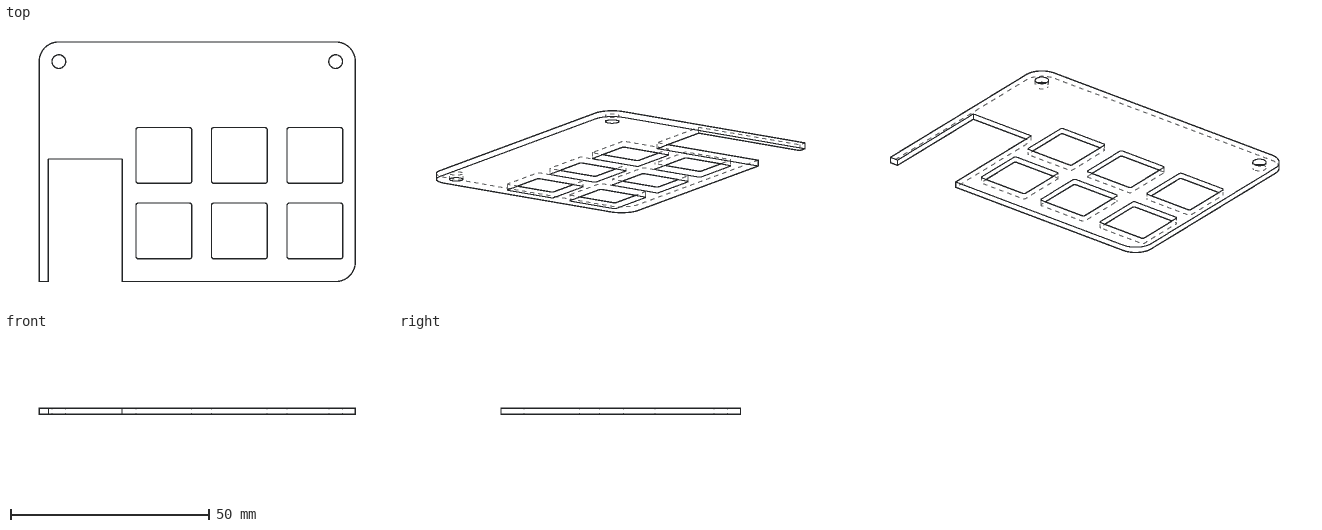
import cadquery as cq

LENGTH = 79.84
WIDTH = 60.53
THICKNESS = 1.55
CORNER_RADIUS = 5.0

HOLE_DIAMETER = 3.4

KEY_SIZE = 14.0
KEY_PITCH = 19.05
KEY_COLUMNS = 3
KEY_ROWS = 2
KEY_CORNER_RADIUS = 0.5
KEY_RIGHT_MARGIN = 3.25
KEY_FRONT_MARGIN = 5.8

ARM_WIDTH = 2.35
NOTCH_WIDTH = 18.6
NOTCH_DEPTH = 30.9


def make_plate():
    """Flat plate with its front left corner at the origin, which stays square."""
    plate = cq.Workplane("XY").box(LENGTH, WIDTH, THICKNESS, centered=False)
    back_corners = plate.edges("|Z and >Y")
    front_right_corner = plate.edges("|Z and >X and <Y")
    return plate.newObject(back_corners.vals() + front_right_corner.vals()).fillet(CORNER_RADIUS)


def make_notch():
    """Rectangular cutter for the notch beside the arm."""
    return (
        cq.Workplane("XY")
        .box(NOTCH_WIDTH, NOTCH_DEPTH, THICKNESS, centered=False)
        .translate((ARM_WIDTH, 0, 0))
    )


def make_key_windows():
    """Grid of square cutters with slightly rounded corners."""
    grid_center_x = LENGTH - KEY_RIGHT_MARGIN - KEY_SIZE / 2 - (KEY_COLUMNS - 1) * KEY_PITCH / 2
    grid_center_y = KEY_FRONT_MARGIN + KEY_SIZE / 2 + (KEY_ROWS - 1) * KEY_PITCH / 2
    return (
        cq.Workplane("XY")
        .center(grid_center_x, grid_center_y)
        .rarray(KEY_PITCH, KEY_PITCH, KEY_COLUMNS, KEY_ROWS)
        .rect(KEY_SIZE, KEY_SIZE)
        .extrude(THICKNESS)
        .edges("|Z")
        .fillet(KEY_CORNER_RADIUS)
    )


def make_mounting_holes():
    """Cylindrical cutters at the centers of the back corner arcs."""
    hole_y = WIDTH - CORNER_RADIUS
    return (
        cq.Workplane("XY")
        .pushPoints([(CORNER_RADIUS, hole_y), (LENGTH - CORNER_RADIUS, hole_y)])
        .circle(HOLE_DIAMETER / 2)
        .extrude(THICKNESS)
    )


result = make_plate().cut(make_notch()).cut(make_key_windows()).cut(make_mounting_holes())